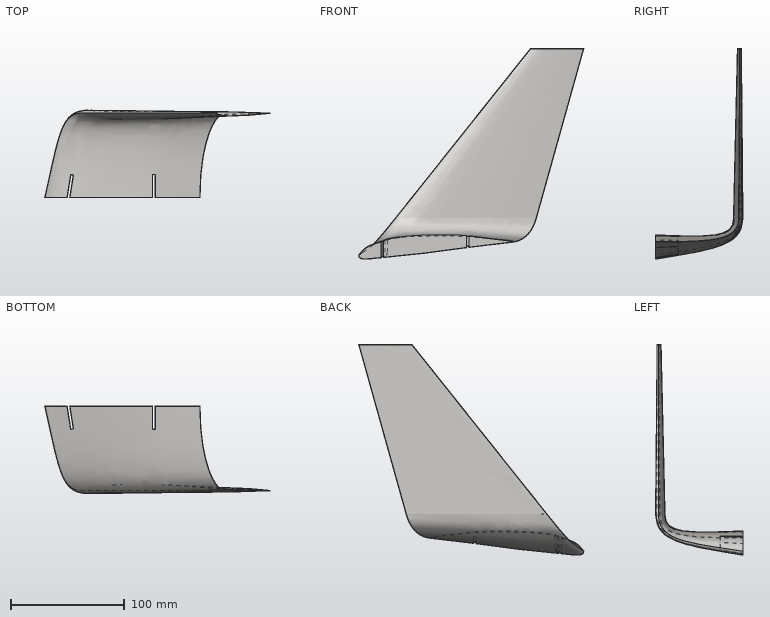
import cadquery as cq
import math


LENGTH = 198.51
SPAN_Y = 77.23
HEIGHT = 185.73

ROOT_LEAD = cq.Vector(0, 0, 3.5)
ROOT_TRAIL = cq.Vector(137.0, 0, 15.3)
FIN_BASE_Z = 36.2
LEAD_INSET = 2.67
FIN_BASE_LEAD = cq.Vector(32.4, SPAN_Y - LEAD_INSET, FIN_BASE_Z)
FIN_BASE_TRAIL = cq.Vector(156.7, 73.4, FIN_BASE_Z)
TIP_CHORD = 47.0
TIP_Y = 74.5
TIP_LEAD = cq.Vector(LENGTH - TIP_CHORD, TIP_Y, HEIGHT)
TIP_TRAIL = cq.Vector(LENGTH, TIP_Y, HEIGHT)

ROOT_UPPER = 13.1
ROOT_LOWER = 4.06
ROOT_CREST = 0.333
FIN_BASE_UPPER = 5.4
FIN_BASE_LOWER = 2.31
FIN_CREST = 0.285
TIP_UPPER = 2.2
TIP_LOWER = 1.4

BEND_STEPS = 12
FIN_ROLL = 90.0
LEAD_ROOT_SLOPE = cq.Vector(0.225, 1, 0.15)
TRAIL_ROOT_SLOPE = cq.Vector(0, 1, 0)
LEAD_FULLNESS = (0.70, 0.70)
TRAIL_FULLNESS = (0.70, 0.95)
ROLL_POWER = 1.6
THINNING_POWER = 2.5

TRAILING_EDGE_THICKNESS = 0.3

UPPER_FORE = [(0.0, 0.0), (0.06, 0.24), (0.16, 0.50), (0.44, 0.82), (1.0, 1.0)]
UPPER_AFT = [(0.0, 1.0), (0.29, 0.89), (0.55, 0.68), (0.75, 0.38), (1.0, 0.0)]
LOWER = [(1.0, 0.0), (0.695, 0.36), (0.29, 0.93), (0.08, 1.0), (0.0, 0.0)]

SLOT_WIDTH = 2.2
SLOT_LENGTH = 20.3
FRONT_SLOT_X = 20.9
FRONT_SLOT_ANGLE = 9.0
REAR_SLOT_X = 96.3


def airfoil(lead, trail, roll, upper, lower, crest):
    """Closed airfoil wire; the upper side is split at the crest."""
    chord = trail - lead
    angle = math.radians(roll)
    up = cq.Vector(0, -math.sin(angle), math.cos(angle))

    def point(along, height):
        thickening = math.copysign(TRAILING_EDGE_THICKNESS / 2 * along, height)
        return lead + chord * along + up * (height + thickening)

    fore = [point(crest * s, upper * h) for s, h in UPPER_FORE]
    aft = [point(crest + (1 - crest) * s, upper * h) for s, h in UPPER_AFT]
    under = [point(s, -lower * h) for s, h in LOWER]
    aft_end = aft[-1] - aft[-2]
    under_start = under[1] - under[0]
    edges = [
        cq.Edge.makeSpline(fore, tangents=[fore[1] - fore[0], chord]),
        cq.Edge.makeSpline(aft, tangents=[chord, aft_end]),
        cq.Edge.makeLine(aft[-1], under[0]),
        cq.Edge.makeSpline(under, tangents=[under_start, up]),
    ]
    return cq.Wire.assembleEdges(edges)


def blend(start, end, t):
    """Value at fraction t of the way from start to end."""
    return start + (end - start) * t


def rail(root, fin_base, tip, root_slope, fullness, t):
    """Point on the cubic that leaves the root along its slope and meets the fin edge tangentially."""
    root_fullness, fin_fullness = fullness
    fin_edge = tip - fin_base
    root_handle = root + root_slope * (root_fullness * (fin_base.y - root.y))
    drop = fin_fullness * (fin_base.z - root.z)
    fin_handle = fin_base - cq.Vector(fin_edge.x / fin_edge.z, 0, 1) * drop
    return (
        root * (1 - t) ** 3
        + root_handle * (3 * t * (1 - t) ** 2)
        + fin_handle * (3 * t**2 * (1 - t))
        + fin_base * t**3
    )


def bend_section(t):
    """Airfoil at fraction t of the way from the root to the fin base."""
    lead = rail(ROOT_LEAD, FIN_BASE_LEAD, TIP_LEAD, LEAD_ROOT_SLOPE, LEAD_FULLNESS, t)
    trail = rail(ROOT_TRAIL, FIN_BASE_TRAIL, TIP_TRAIL, TRAIL_ROOT_SLOPE, TRAIL_FULLNESS, t)
    thinning = 1 - (1 - t) ** THINNING_POWER
    return airfoil(
        lead,
        trail,
        FIN_ROLL * t**ROLL_POWER,
        blend(ROOT_UPPER, FIN_BASE_UPPER, thinning),
        blend(ROOT_LOWER, FIN_BASE_LOWER, thinning),
        blend(ROOT_CREST, FIN_CREST, t),
    )


def slot(x, angle):
    """Cutter for one slot, centred on x at the root face and raked aft by angle."""
    return (
        cq.Workplane("XY")
        .rect(SLOT_WIDTH, 2 * SLOT_LENGTH)
        .extrude(FIN_BASE_Z)
        .rotate((0, 0, 0), (0, 0, 1), -angle)
        .translate((x, 0, 0))
    )


bend_sections = [bend_section(step / BEND_STEPS) for step in range(BEND_STEPS + 1)]
bend = cq.Workplane(cq.Solid.makeLoft(bend_sections))

tip_section = airfoil(TIP_LEAD, TIP_TRAIL, FIN_ROLL, TIP_UPPER, TIP_LOWER, FIN_CREST)
fin = cq.Workplane(cq.Solid.makeLoft([bend_sections[-1], tip_section], True))

result = (
    bend.cut(slot(FRONT_SLOT_X, FRONT_SLOT_ANGLE))
    .cut(slot(REAR_SLOT_X, 0))
    .union(fin)
    .solids()
)